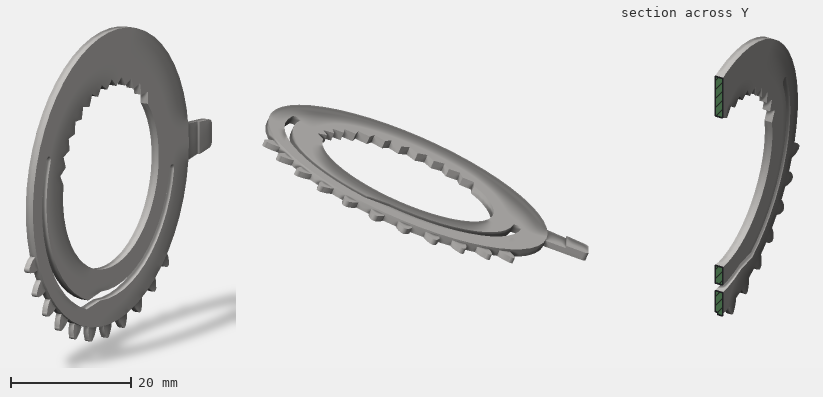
import cadquery as cq
import math

FULL_THICKNESS = 1.4
THIN_THICKNESS = 1.0
RING_RADIUS = 25.25
BORE_RADIUS = 15.5

TAB_REACH = 32.68
TAB_TIP_WIDTH = 4.7
TAB_ROOT_WIDTH = 6.5
TAB_ROOT_Y = 24.8
TAB_CORNER_RADIUS = 0.9
TAB_PAD_LENGTH = 4.0

TOOTH_COUNT = 11
TOOTH_PITCH = 360 / 32
FIRST_TOOTH_ANGLE = 201.75
TOOTH_TIP_RADIUS = 27.7
TOOTH_ROOT_WIDTH = 2.55
TOOTH_SHOULDER_WIDTH = 1.1
TOOTH_CROWN_HEIGHT = 0.4
FLANK_BULGE = 0.18
TOOTH_OVERLAP = 0.5

NOTCH_COUNT = 12
NOTCH_PITCH = 11.0
FIRST_NOTCH_ANGLE = 45.0
NOTCH_TIP_RADIUS = 16.9
NOTCH_SIDE = 2.2

SLOT_WIDTH = 1.5
SLOT_OUTER_RADIUS = 21.6
SLOT_INNER_RADIUS = 20.0
SLOT_OUTER_START = 159.3
SLOT_OUTER_END = 249.5
SLOT_INNER_START = 260.5
SLOT_INNER_END = 350.8


def polar(radius, angle):
    """Point in the ring plane at the given radius and angle."""
    turn = math.radians(angle)
    return (radius * math.cos(turn), radius * math.sin(turn))


def disc(radius):
    """Full-thickness disc on the ring axis."""
    return cq.Workplane("YZ").circle(radius).extrude(FULL_THICKNESS)


def make_tab():
    """Tapered tab, thinned on its +X side between the end pad and the ring."""
    tip = TAB_TIP_WIDTH / 2
    root = TAB_ROOT_WIDTH / 2
    outline = [(TAB_ROOT_Y, -root), (TAB_REACH, -tip), (TAB_REACH, tip), (TAB_ROOT_Y, root)]
    tab = cq.Workplane("YZ").polyline(outline).close().extrude(FULL_THICKNESS)
    tab = tab.edges("|X and >Y").fillet(TAB_CORNER_RADIUS)
    relief_end = TAB_REACH - TAB_PAD_LENGTH
    relief = (
        cq.Workplane("YZ", origin=(THIN_THICKNESS, 0, 0))
        .center(relief_end / 2, 0)
        .rect(relief_end, 2 * TAB_ROOT_WIDTH)
        .extrude(FULL_THICKNESS - THIN_THICKNESS)
    )
    return tab.cut(relief)


def make_tooth(angle):
    """Gear tooth with bulged flanks and a rounded crown, pointing outwards at the angle."""
    root = TOOTH_ROOT_WIDTH / 2
    shoulder = TOOTH_SHOULDER_WIDTH / 2
    base_y = RING_RADIUS - TOOTH_OVERLAP
    root_y = math.sqrt(RING_RADIUS**2 - root**2)
    shoulder_y = TOOTH_TIP_RADIUS - TOOTH_CROWN_HEIGHT
    flank_y = (root_y + shoulder_y) / 2
    flank = (root + shoulder) / 2 + FLANK_BULGE
    tooth = (
        cq.Workplane("YZ")
        .moveTo(base_y, -root)
        .lineTo(root_y, -root)
        .threePointArc((flank_y, -flank), (shoulder_y, -shoulder))
        .threePointArc((TOOTH_TIP_RADIUS, 0), (shoulder_y, shoulder))
        .threePointArc((flank_y, flank), (root_y, root))
        .lineTo(base_y, root)
        .close()
        .extrude(THIN_THICKNESS)
    )
    return tooth.rotate((0, 0, 0), (1, 0, 0), angle)


def make_notch(angle):
    """Square cutter whose outer corner forms a right-angled notch in the bore."""
    diagonal = NOTCH_SIDE * math.sqrt(2)
    middle = NOTCH_TIP_RADIUS - diagonal / 2
    outline = [
        (NOTCH_TIP_RADIUS, 0),
        (middle, diagonal / 2),
        (NOTCH_TIP_RADIUS - diagonal, 0),
        (middle, -diagonal / 2),
    ]
    notch = cq.Workplane("YZ").polyline(outline).close().extrude(FULL_THICKNESS)
    return notch.rotate((0, 0, 0), (1, 0, 0), angle)


def make_slot():
    """Round-ended slot along two arcs of different radius, joined by a straight ramp."""
    half = SLOT_WIDTH / 2
    outer_middle = (SLOT_OUTER_START + SLOT_OUTER_END) / 2
    inner_middle = (SLOT_INNER_START + SLOT_INNER_END) / 2
    outer_angles = (SLOT_OUTER_START, outer_middle, SLOT_OUTER_END)
    inner_angles = (SLOT_INNER_START, inner_middle, SLOT_INNER_END)
    far_high = [polar(SLOT_OUTER_RADIUS + half, angle) for angle in outer_angles]
    near_high = [polar(SLOT_OUTER_RADIUS - half, angle) for angle in outer_angles]
    far_low = [polar(SLOT_INNER_RADIUS + half, angle) for angle in inner_angles]
    near_low = [polar(SLOT_INNER_RADIUS - half, angle) for angle in inner_angles]
    end_turn = math.degrees(half / SLOT_INNER_RADIUS)
    start_turn = math.degrees(half / SLOT_OUTER_RADIUS)
    return (
        cq.Workplane("YZ")
        .moveTo(*far_high[0])
        .threePointArc(far_high[1], far_high[2])
        .lineTo(*far_low[0])
        .threePointArc(far_low[1], far_low[2])
        .threePointArc(polar(SLOT_INNER_RADIUS, SLOT_INNER_END + end_turn), near_low[2])
        .threePointArc(near_low[1], near_low[0])
        .lineTo(*near_high[2])
        .threePointArc(near_high[1], near_high[0])
        .threePointArc(polar(SLOT_OUTER_RADIUS, SLOT_OUTER_START - start_turn), far_high[0])
        .close()
        .extrude(FULL_THICKNESS)
    )


plate = disc(RING_RADIUS).union(make_tab())
for index in range(TOOTH_COUNT):
    plate = plate.union(make_tooth(FIRST_TOOTH_ANGLE + index * TOOTH_PITCH))

plate = plate.cut(disc(BORE_RADIUS))
for index in range(NOTCH_COUNT):
    plate = plate.cut(make_notch(FIRST_NOTCH_ANGLE + index * NOTCH_PITCH))

result = plate.cut(make_slot())